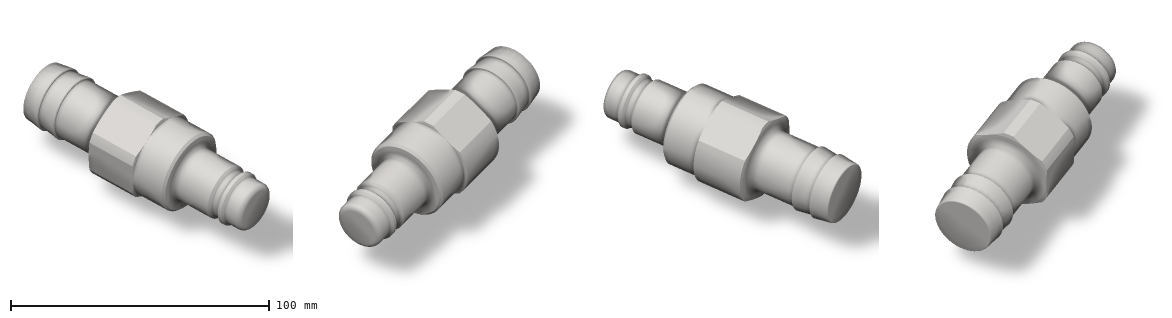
import cadquery as cq

hose_diameter = 25.0
barb_diameter = 27.0
barb_pitch = 8.0
barb_count = 2
barb_edge_chamfer = 0.3
tip_fillet = 0.5
hose_fillet = 2.6

wrench_start = 36.0
wrench_length = 22.0
wrench_end = wrench_start + wrench_length
wrench_diameter = 37.0
across_flats = 34.0
flat_count = 6
flat_spacing = 360 / flat_count
wrench_chamfer = 0.4

body_diameter = across_flats
body_end = 73.0
body_chamfer = 1.0

neck_diameter = 22.85
neck_fillet = 1.8
neck_end = 91.5
plug_diameter = 20.3
collar_diameter = 22.6
collar_start = 94.0
collar_end = 97.75
plug_end = 105.0
plug_fillet = 2.2

hose_radius = hose_diameter / 2
barb_radius = barb_diameter / 2
wrench_radius = wrench_diameter / 2
flat_distance = across_flats / 2
body_radius = body_diameter / 2
neck_radius = neck_diameter / 2
plug_radius = plug_diameter / 2
collar_radius = collar_diameter / 2
neck_chamfer = neck_radius - plug_radius
collar_chamfer = collar_radius - plug_radius


def turn(outline):
    """Close a half outline drawn in the XY plane and revolve it about the X axis."""
    return outline.close().revolve(360, (0, 0, 0), (1, 0, 0))


def make_hose_tail():
    outline = cq.Workplane("XY").lineTo(0, hose_radius - tip_fillet)
    outline = outline.radiusArc((tip_fillet, hose_radius), tip_fillet)
    for barb in range(1, barb_count + 1):
        barb_end = barb * barb_pitch
        outline = outline.lineTo(barb_end - barb_edge_chamfer, barb_radius)
        outline = outline.lineTo(barb_end, barb_radius - barb_edge_chamfer)
        outline = outline.lineTo(barb_end, hose_radius)
    outline = (
        outline.lineTo(wrench_start - hose_fillet, hose_radius)
        .radiusArc((wrench_start, hose_radius + hose_fillet), -hose_fillet)
        .lineTo(wrench_start, 0)
    )
    return turn(outline)


def make_wrench_section():
    outline = (
        cq.Workplane("XY")
        .moveTo(wrench_start, 0)
        .lineTo(wrench_start, flat_distance)
        .lineTo(wrench_start + wrench_chamfer, wrench_radius)
        .lineTo(wrench_end - wrench_chamfer, wrench_radius)
        .lineTo(wrench_end, flat_distance)
        .lineTo(wrench_end, 0)
    )
    section = turn(outline)
    for index in range(1, flat_count):
        waste = (
            cq.Workplane("XY")
            .box(wrench_length, wrench_radius, wrench_diameter, centered=(False, False, True))
            .translate((wrench_start, flat_distance, 0))
            .rotate((0, 0, 0), (1, 0, 0), index * flat_spacing)
        )
        section = section.cut(waste)
    return section


def make_body_and_plug():
    outline = (
        cq.Workplane("XY")
        .moveTo(wrench_end, 0)
        .lineTo(wrench_end, body_radius)
        .lineTo(body_end - body_chamfer, body_radius)
        .lineTo(body_end, body_radius - body_chamfer)
        .lineTo(body_end, neck_radius + neck_fillet)
        .radiusArc((body_end + neck_fillet, neck_radius), -neck_fillet)
        .lineTo(neck_end - neck_chamfer, neck_radius)
        .lineTo(neck_end, plug_radius)
        .lineTo(collar_start, plug_radius)
        .lineTo(collar_start + collar_chamfer, collar_radius)
        .lineTo(collar_end - collar_chamfer, collar_radius)
        .lineTo(collar_end, plug_radius)
        .lineTo(plug_end - plug_fillet, plug_radius)
        .radiusArc((plug_end, plug_radius - plug_fillet), plug_fillet)
        .lineTo(plug_end, 0)
    )
    return turn(outline)


result = make_hose_tail().union(make_wrench_section()).union(make_body_and_plug())